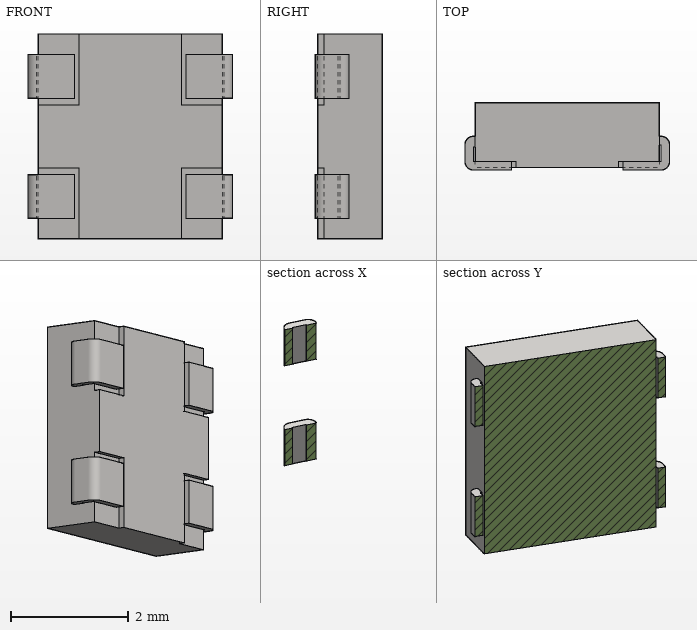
import cadquery as cq

overall_width = 3.5
body_height = 3.5

body_width = 3.15
body_depth = 1.105
body_side = body_width / 2

pocket_width = 0.7
pocket_height = 1.21
pocket_depth = 0.105

terminal_thickness = 0.15
terminal_height = 0.75
terminal_end_margin = 0.35
foot_length = 0.8
terminal_rise = 0.58
left_lip_thickness = 0.19
right_lip_thickness = 0.155
bend_radius = terminal_thickness

pocket_floor = pocket_depth
foot_sole = pocket_floor - terminal_thickness
lip_top = foot_sole + terminal_rise
terminal_side = overall_width / 2
terminal_offset = body_height / 2 - terminal_end_margin - terminal_height / 2


def make_body():
    """Rectangular block with a shallow pocket at each corner of its front face."""
    body = cq.Workplane("XY").box(body_width, body_depth, body_height, centered=(True, False, True))
    pocket_x = (body_width - pocket_width) / 2
    pocket_z = (body_height - pocket_height) / 2
    for x_sign in (-1, 1):
        for z_sign in (-1, 1):
            pocket = (
                cq.Workplane("XY")
                .box(pocket_width, pocket_depth, pocket_height, centered=(True, False, True))
                .translate((x_sign * pocket_x, 0, z_sign * pocket_z))
            )
            body = body.cut(pocket)
    return body


def make_terminal(x_sign, lip_thickness):
    """C-shaped strip: foot on the pocket floor, upright beside the body, lip against its side."""
    outer = x_sign * terminal_side
    bend_start = x_sign * (terminal_side - bend_radius)
    inner = x_sign * (terminal_side - terminal_thickness)
    foot_tip = x_sign * (terminal_side - foot_length)
    side = x_sign * body_side
    bend = x_sign * bend_radius
    profile = (
        cq.Workplane("XY")
        .moveTo(foot_tip, pocket_floor)
        .lineTo(foot_tip, foot_sole)
        .lineTo(bend_start, foot_sole)
        .radiusArc((outer, foot_sole + bend_radius), -bend)
        .lineTo(outer, lip_top - bend_radius)
        .radiusArc((bend_start, lip_top), -bend)
        .lineTo(side, lip_top)
        .lineTo(side, lip_top - lip_thickness)
        .lineTo(inner, lip_top - lip_thickness)
        .lineTo(inner, pocket_floor)
        .close()
    )
    return profile.extrude(terminal_height / 2, both=True)


result = make_body()
for x_sign, lip_thickness in ((-1, left_lip_thickness), (1, right_lip_thickness)):
    for z_sign in (-1, 1):
        terminal = make_terminal(x_sign, lip_thickness)
        result = result.union(terminal.translate((0, 0, z_sign * terminal_offset)))